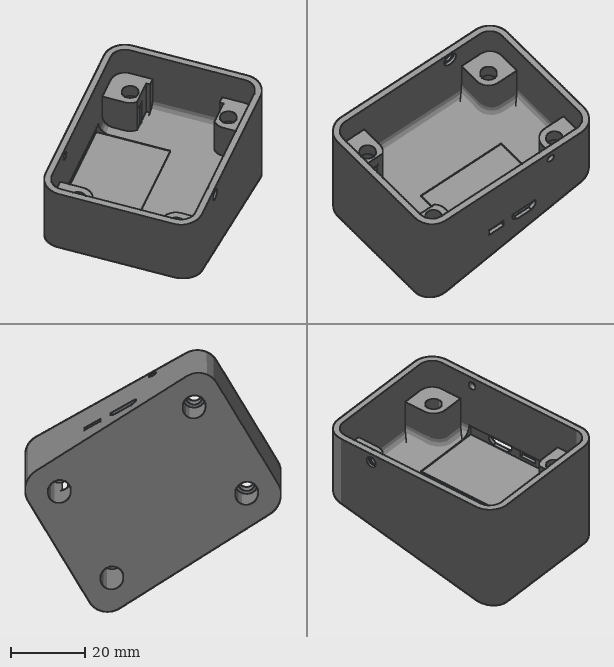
import cadquery as cq

width = 44.75
length = 58.75
height = 33.2
front_height = 20.85
corner_radius = 6.0
wall = 1.9

floor_z = 13.2
floor_fillet = 3.05
inner_width = width - 2 * wall
inner_length = length - 2 * wall
inner_radius = corner_radius - wall

post_top_z = 24.2
hole_x = 14.05
hole_y = 20.95
hole_diameter = 4.5
counterbore_diameter = 6.2
counterbore_top_z = 20.3
post_radius = 4.1
post_x = 9.9
post_y = 16.85
notch_x = 11.05
notch_end_y = 25.45

recess_depth = 0.25
recess_half_length = 13.9
recess_top_z = 16.5
port_wall = 1.2

pin_y = -12.9
pin_z = height - 2.75
left_pin_diameter = 2.3
right_pin_diameter = 3.1
right_pin_counterbore = 4.1
right_pin_counterbore_depth = 1.0
usb_center_y = 5.9
usb_length = 5.05
usb_bottom_z = 14.05
usb_height = 2.1
hdmi_center_y = -3.7
hdmi_length = 8.0
hdmi_bottom_length = 4.95
hdmi_bottom_z = 13.15
hdmi_height = 3.1
hdmi_side_height = 1.95
hdmi_top_chamfer = 0.3
hdmi_shoulder_radius = 1.2


def block(x_range, y_range, z_range):
    """Axis-aligned box between pairs of coordinates."""
    x0, x1 = sorted(x_range)
    y0, y1 = sorted(y_range)
    z0, z1 = sorted(z_range)
    return cq.Workplane("XY").box(x1 - x0, y1 - y0, z1 - z0, centered=False).translate((x0, y0, z0))


def rounded_prism(size_x, size_y, radius, bottom_z, top_z):
    prism = cq.Workplane("XY").workplane(offset=bottom_z).rect(size_x, size_y).extrude(top_z - bottom_z)
    return prism.edges("|Z").fillet(radius)


def vertical_cylinder(x, y, diameter, bottom_z, top_z):
    return cq.Workplane("XY", origin=(x, y, bottom_z)).circle(diameter / 2).extrude(top_z - bottom_z)


def cross_cylinder(start_x, end_x, diameter):
    """Cylinder along X at the pin position."""
    plane = cq.Workplane("YZ", origin=(start_x, pin_y, pin_z))
    return plane.circle(diameter / 2).extrude(end_x - start_x)


def make_body():
    """Rounded block with its underside sloping up towards the front."""
    side = (
        cq.Workplane("YZ", origin=(-width / 2, 0, 0))
        .moveTo(length / 2, 0)
        .lineTo(length / 2, height)
        .lineTo(-length / 2, height)
        .lineTo(-length / 2, height - front_height)
        .close()
        .extrude(width)
    )
    return side.intersect(rounded_prism(width, length, corner_radius, 0, height))


def corner_post(side_x, side_y):
    """Post filling one corner of the cavity, rounded where it faces the middle."""
    post = block(
        (side_x * post_x, side_x * width / 2),
        (side_y * post_y, side_y * length / 2),
        (floor_z, post_top_z),
    )
    inner_x = "<X" if side_x > 0 else ">X"
    inner_y = "<Y" if side_y > 0 else ">Y"
    return post.edges(f"|Z and {inner_x} and {inner_y}").fillet(post_radius)


def rear_post_notch(side):
    """Flat clearance cut on the inner side face of a rear post."""
    return block(
        (side * post_x, side * notch_x),
        (post_y, notch_end_y),
        (floor_z, post_top_z),
    )


def make_cavity():
    """Hollow with filleted floor, leaving all four corner posts standing."""
    cavity = rounded_prism(inner_width, inner_length, inner_radius, floor_z, height)
    for side in (-1, 1):
        cavity = cavity.cut(corner_post(side, -1))
    cavity = cavity.faces("<Z").edges().fillet(floor_fillet)
    for side in (-1, 1):
        cavity = cavity.cut(corner_post(side, 1)).union(rear_post_notch(side))
    return cavity


def make_recess():
    """Board pocket that also thins the lower left wall behind the ports."""
    return block(
        (-width / 2 + port_wall, 0),
        (-recess_half_length, recess_half_length),
        (floor_z - recess_depth, recess_top_z),
    )


def make_post_holes():
    holes = cq.Workplane("XY")
    for x in (-hole_x, hole_x):
        for y in (-hole_y, hole_y):
            holes = holes.add(vertical_cylinder(x, y, hole_diameter, 0, height))
            holes = holes.add(vertical_cylinder(x, y, counterbore_diameter, 0, counterbore_top_z))
    return holes.combine()


def make_pin_holes():
    left = cross_cylinder(-width / 2, -inner_width / 2, left_pin_diameter)
    right = cross_cylinder(inner_width / 2, width / 2, right_pin_diameter)
    counterbore_end = inner_width / 2 + right_pin_counterbore_depth
    counterbore = cross_cylinder(inner_width / 2, counterbore_end, right_pin_counterbore)
    return left.union(right).union(counterbore)


def make_usb_slot():
    return block(
        (-width / 2, -width / 2 + port_wall),
        (usb_center_y - usb_length / 2, usb_center_y + usb_length / 2),
        (usb_bottom_z, usb_bottom_z + usb_height),
    )


def make_hdmi_slot():
    """Slot with rounded, sloping lower corners and small chamfers at the top."""
    half = hdmi_length / 2
    bottom_half = hdmi_bottom_length / 2
    top_half = half - hdmi_top_chamfer
    shoulder = hdmi_height - hdmi_side_height
    outline = [
        (-bottom_half, 0),
        (bottom_half, 0),
        (half, shoulder),
        (half, hdmi_height - hdmi_top_chamfer),
        (top_half, hdmi_height),
        (-top_half, hdmi_height),
        (-half, hdmi_height - hdmi_top_chamfer),
        (-half, shoulder),
    ]
    plane = cq.Workplane("YZ", origin=(-width / 2, hdmi_center_y, hdmi_bottom_z))
    slot = plane.polyline(outline).close().extrude(port_wall)
    for y in (-half, half):
        shoulder_point = (-width / 2, hdmi_center_y + y, hdmi_bottom_z + shoulder)
        slot = slot.edges("|X").edges(cq.NearestToPointSelector(shoulder_point)).fillet(hdmi_shoulder_radius)
    return slot


result = (
    make_body()
    .cut(make_cavity())
    .cut(make_recess())
    .cut(make_post_holes())
    .cut(make_pin_holes())
    .cut(make_usb_slot())
    .cut(make_hdmi_slot())
)